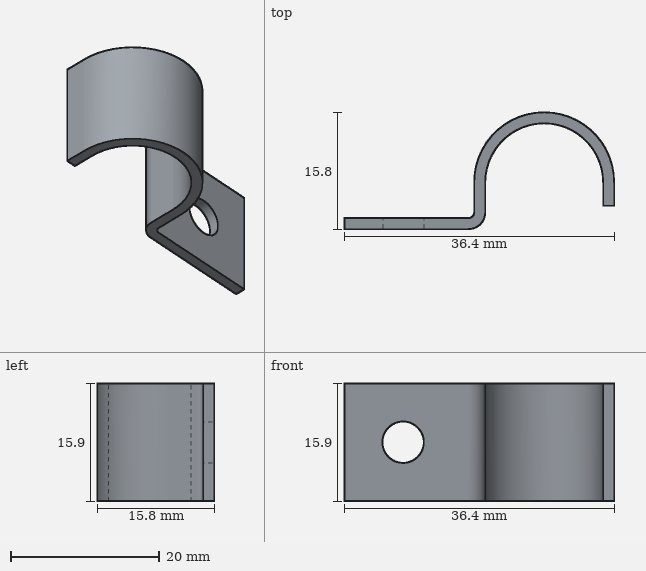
import cadquery as cq

strap_width = 15.88
thickness = 1.52
bore_radius = 7.94
foot_reach = 26.98
foot_drop = 6.34
lip_drop = 3.175
bend_inner_radius = 0.76
hole_diameter = 5.56
hole_edge_distance = 7.94

outer_radius = bore_radius + thickness
bend_outer_radius = bend_inner_radius + thickness
mounting_face_y = -foot_drop
foot_back_y = mounting_face_y + thickness
hole_x = hole_edge_distance - foot_reach


def make_strap():
    """Constant-thickness strip: flat foot, bend, half-round saddle and free leg."""
    profile = (
        cq.Workplane("XY")
        .moveTo(-foot_reach, mounting_face_y)
        .lineTo(-bore_radius - bend_outer_radius, mounting_face_y)
        .radiusArc((-bore_radius, mounting_face_y + bend_outer_radius), -bend_outer_radius)
        .lineTo(-bore_radius, 0)
        .threePointArc((0, bore_radius), (bore_radius, 0))
        .lineTo(bore_radius, -lip_drop)
        .lineTo(outer_radius, -lip_drop)
        .lineTo(outer_radius, 0)
        .threePointArc((0, outer_radius), (-outer_radius, 0))
        .lineTo(-outer_radius, foot_back_y + bend_inner_radius)
        .radiusArc((-outer_radius - bend_inner_radius, foot_back_y), bend_inner_radius)
        .lineTo(-foot_reach, foot_back_y)
        .close()
    )
    return profile.extrude(strap_width)


def make_screw_hole():
    """Cylinder through the foot, centered across the strap width."""
    return (
        cq.Workplane("XZ", origin=(hole_x, foot_back_y, strap_width / 2))
        .circle(hole_diameter / 2)
        .extrude(thickness)
    )


result = make_strap().cut(make_screw_hole())